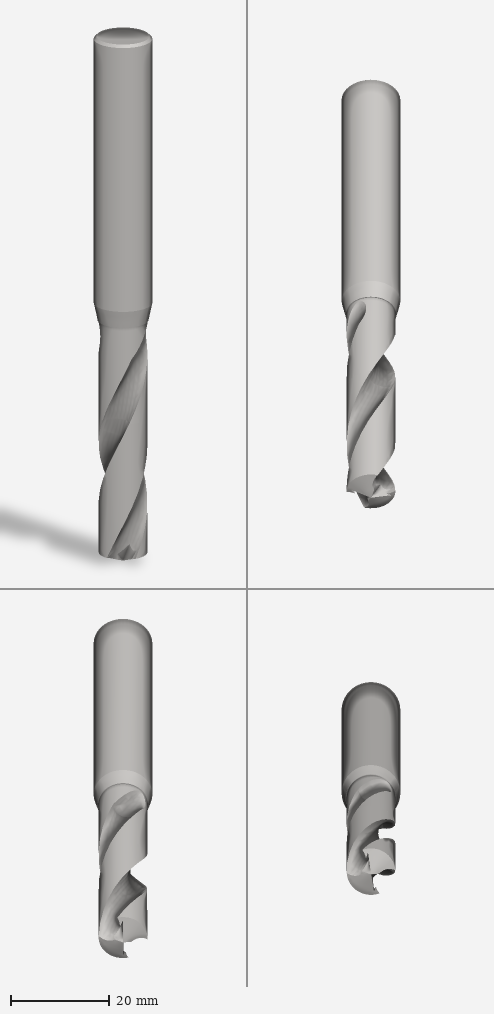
import cadquery as cq
import math

total_length = 113.0
split_height = 31.0
helix_end = 45.0
shoulder_bottom = 51.9
shoulder_top = 55.6

drill_radius = 5.0
shank_radius = 6.0
shoulder_small_radius = 5.2
shank_chamfer = 0.6

point_half_angle = 70.0
point_height = drill_radius / math.tan(math.radians(point_half_angle))

flute_count = 2
flute_pitch = 64.2
flute_end_azimuth = 164.5
flute_half_width = 36.0
core_radius = 1.5
runout_slope = 0.31
runout_side_slope = 0.74
runout_overrun = 2.3

cutter_start = -1.1

corner_radial = drill_radius * math.cos(math.radians(flute_half_width))
corner_side = drill_radius * math.sin(math.radians(flute_half_width))
flute_depth = corner_radial - core_radius
flute_radius = (flute_depth**2 + corner_side**2) / (2 * flute_depth)
flute_offset = core_radius + flute_radius

notch_reach = 2.0
notch_left = -0.7
notch_right = 3.7
notch_left_top = 2.1
notch_right_top = 1.9
notch_peak_x = 3.4
notch_peak_z = 7.9
notch_bottom = -0.6


def flute_angles():
    """Azimuth of every flute at the helix end."""
    return [flute_end_azimuth + 360.0 * i / flute_count for i in range(flute_count)]


def make_helical_flute(azimuth):
    """Twisted groove from below the tip up to the helix end."""
    height = helix_end - cutter_start
    twist = 360.0 * height / flute_pitch
    return (
        cq.Workplane("XY")
        .moveTo(flute_offset, 0)
        .circle(flute_radius)
        .twistExtrude(height, twist)
        .rotate((0, 0, 0), (0, 0, 1), azimuth - twist)
        .translate((0, 0, cutter_start))
    )


def make_runout(azimuth):
    """Straight continuation of the groove that leaves the drill sideways."""
    height = shoulder_bottom - helix_end + runout_overrun
    outward = runout_slope * height
    sideways = runout_side_slope * height
    return (
        cq.Workplane("XY")
        .moveTo(flute_offset, 0)
        .circle(flute_radius)
        .workplane(offset=height)
        .moveTo(flute_offset + outward, sideways)
        .circle(flute_radius)
        .loft(ruled=True)
        .rotate((0, 0, 0), (0, 0, 1), azimuth)
        .translate((0, 0, helix_end))
    )


def make_web_notch(azimuth):
    """Pyramid that opens from the tip into a flute."""
    base = [
        cq.Vector(x, -notch_reach, z)
        for x, z in [
            (notch_left, notch_bottom),
            (notch_right, notch_bottom),
            (notch_right, notch_right_top),
            (notch_peak_x, notch_peak_z),
            (notch_left, notch_left_top),
        ]
    ]
    apex = cq.Vector(0, 0, 0)
    outlines = [base]
    for i in range(len(base)):
        outlines.append([base[i - 1], base[i], apex])
    faces = [cq.Face.makeFromWires(cq.Wire.makePolygon(o, close=True)) for o in outlines]
    pyramid = cq.Solid.makeSolid(cq.Shell.makeShell(faces))
    return cq.Workplane(obj=pyramid).rotate((0, 0, 0), (0, 0, 1), azimuth)


def make_cutting_head():
    """Fluted, pointed lower part of the drill."""
    head = (
        cq.Workplane("XZ")
        .moveTo(0, 0)
        .lineTo(drill_radius, point_height)
        .lineTo(drill_radius, split_height)
        .lineTo(0, split_height)
        .close()
        .revolve(360, (0, 0), (0, 1))
    )
    for azimuth in flute_angles():
        head = head.cut(make_helical_flute(azimuth))
    for i in range(flute_count):
        head = head.cut(make_web_notch(360.0 * i / flute_count))
    return head


def make_shank():
    """Clamping shank with its shoulder and the fluted neck below it."""
    shank = (
        cq.Workplane("XZ")
        .moveTo(0, split_height)
        .lineTo(drill_radius, split_height)
        .lineTo(drill_radius, shoulder_bottom)
        .lineTo(shoulder_small_radius, shoulder_bottom)
        .lineTo(shank_radius, shoulder_top)
        .lineTo(shank_radius, total_length - shank_chamfer)
        .lineTo(shank_radius - shank_chamfer, total_length)
        .lineTo(0, total_length)
        .close()
        .revolve(360, (0, 0), (0, 1))
    )
    for azimuth in flute_angles():
        shank = shank.cut(make_helical_flute(azimuth))
        shank = shank.cut(make_runout(azimuth))
    return shank


cutting_head = make_cutting_head()
shank = make_shank()

result = cq.Compound.makeCompound([cutting_head.val(), shank.val()])